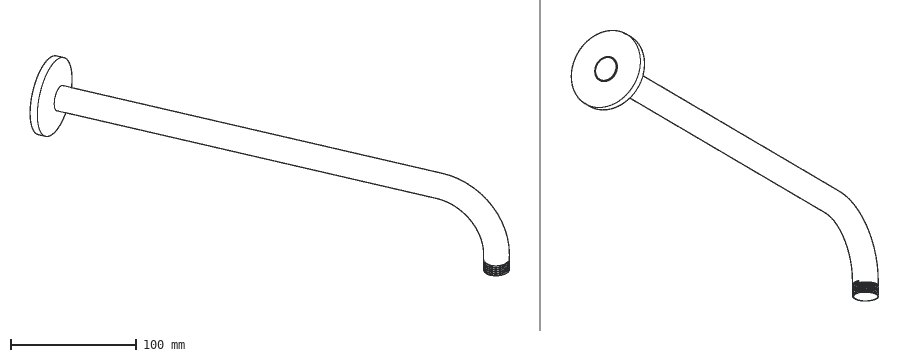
import cadquery as cq
import math

overall_length = 407.0
overall_height = 97.0

plate_diameter = 64.7
plate_rim_thickness = 6.5
plate_thickness = 11.0

arm_diameter = 20.8
arm_radius = arm_diameter / 2
arm_end_chamfer = 1.0
bend_radius = 50.0
outlet_x = overall_length - arm_radius
outlet_drop = overall_height - plate_diameter / 2
straight_length = outlet_x - bend_radius

thread_pitch = 1.85
thread_depth = 1.0
crest_flat = 0.5
root_flat = 0.5
thread_top_drop = 53.7
runout_angle = 180
groove_overshoot = 0.33


def make_plate():
    """Round plate with a straight rim, a domed front that flattens at the arm, and a hole for the arm."""
    plate_radius = plate_diameter / 2
    hole_radius = arm_radius
    dome_height = plate_thickness - plate_rim_thickness
    dome_width = plate_radius - hole_radius
    dome_arc_radius = (dome_width**2 + dome_height**2) / (2 * dome_height)
    half_section = (
        cq.Workplane("XY")
        .moveTo(0, hole_radius)
        .lineTo(0, plate_radius)
        .lineTo(plate_rim_thickness, plate_radius)
        .radiusArc((plate_thickness, hole_radius), dome_arc_radius)
        .close()
    )
    return half_section.revolve(360, (0, 0, 0), (1, 0, 0))


def make_thread_groove():
    """Helical groove with sloping flanks and a flat root, open through the outlet end face."""
    threaded_length = outlet_drop - thread_top_drop
    turns = math.ceil(threaded_length / thread_pitch) + 1
    helix_height = turns * thread_pitch
    groove_top_drop = thread_top_drop + thread_pitch / 2
    helix = cq.Wire.makeHelix(thread_pitch, helix_height, arm_radius)

    half_root = root_flat / 2
    half_mouth = (thread_pitch - crest_flat) / 2
    flank_slope = (half_mouth - half_root) / thread_depth
    cutter_half_mouth = half_mouth + groove_overshoot * flank_slope
    groove = (
        cq.Workplane("XZ")
        .moveTo(arm_radius - thread_depth, -half_root)
        .lineTo(arm_radius - thread_depth, half_root)
        .lineTo(arm_radius + groove_overshoot, cutter_half_mouth)
        .lineTo(arm_radius + groove_overshoot, -cutter_half_mouth)
        .close()
        .sweep(cq.Workplane(helix), isFrenet=True)
    )
    return groove.rotate((0, 0, 0), (0, 0, 1), runout_angle).translate(
        (outlet_x, 0, -groove_top_drop - helix_height)
    )


def make_arm():
    """Solid round arm: straight run, quarter bend downwards and a threaded outlet."""
    straight = (
        cq.Workplane("YZ")
        .circle(arm_radius)
        .extrude(straight_length)
        .faces("<X")
        .chamfer(arm_end_chamfer)
    )
    bend_path = (
        cq.Workplane("XZ")
        .moveTo(straight_length, 0)
        .radiusArc((outlet_x, -bend_radius), bend_radius)
    )
    bend = cq.Workplane("YZ", origin=(straight_length, 0, 0)).circle(arm_radius).sweep(bend_path)
    outlet = (
        cq.Workplane("XY", origin=(outlet_x, 0, -outlet_drop))
        .circle(arm_radius)
        .extrude(outlet_drop - bend_radius)
        .cut(make_thread_groove())
    )
    return straight.union(bend).union(outlet)


plate = make_plate()
arm = make_arm()

result = cq.Compound.makeCompound([plate.val(), arm.val()])